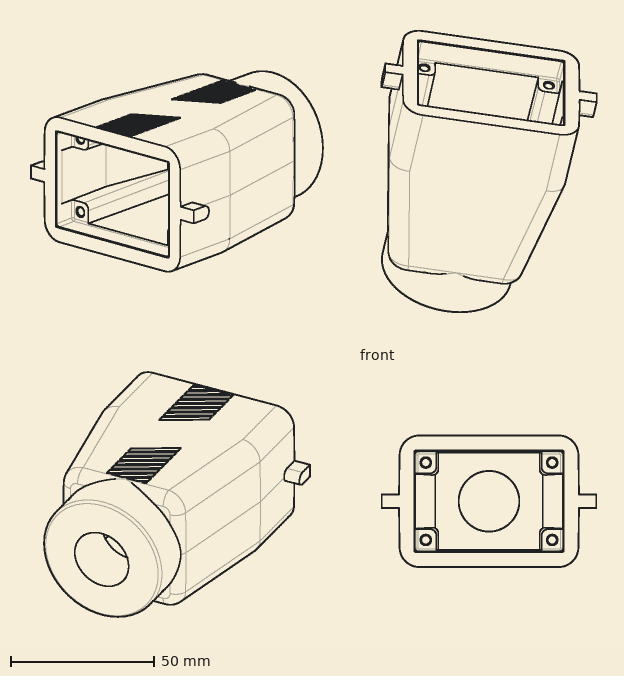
import cadquery as cq
import math

length = 86.5
half_height = 23.0
side_half_width = 31.5
bend_y = 26.4
side_taper = 10.0
shoulder_y = 72.4
side_draft = 0.35
corner_radius = 7.0
shoulder_radius = 4.3

entry_edge_radius = 0.95
entry_bore = 21.1

mouth_half_width = 25.9
mouth_half_height = 17.5
mouth_draft = 0.3
mouth_chamfer = 0.3
mouth_corner_radius = 1.0
mouth_floor_radius = 0.7

cavity_half_width = 25.8
cavity_half_height = 16.9
cavity_end_y = 65.7

post_front_y = 8.5
post_inner_x = 18.4
post_inner_z = 9.9
post_corner_radius = 2.25
post_growth = 0.8
post_hole_x = 22.1
post_hole_z = 13.5
post_hole_diameter = 3.1
post_hole_chamfer = 0.35
post_hole_depth = 17.3

lug_span = 75.0
lug_thickness = 4.85
lug_length = 8.2

groove_depth = 0.2
band_half_width = 7.7
band_front_y = 0.6
band_back_y = 67.5
groove_pitch = 3.24
groove_width = 2.25
groove_rise = 8.2
front_group_y = 19.2
back_group_y = 40.7

taper_slope = math.tan(math.radians(side_taper))


def flat_face(points):
    return cq.Face.makeFromWires(cq.Wire.makePolygon([cq.Vector(*p) for p in points], close=True))


def ruled_segment(start_y, start_outline, end_y, end_outline):
    """Flat-sided block between two outlines of (x, z) points with matching, parallel edges."""
    start = [(x, start_y, z) for x, z in start_outline]
    end = [(x, end_y, z) for x, z in end_outline]
    faces = [flat_face(start), flat_face(end)]
    for i in range(len(start)):
        faces.append(flat_face([start[i - 1], start[i], end[i], end[i - 1]]))
    return cq.Workplane(cq.Solid.makeSolid(cq.Shell.makeShell(faces)).fix())


def tapered_half_width(half_width, y):
    """Half width at y of a side that is half_width from the middle at the bend."""
    return half_width - taper_slope * (y - bend_y)


def body_outline(half_width):
    """Six-sided body section, widest at mid-height."""
    edge = half_width - side_draft
    return [
        (half_width, 0),
        (edge, half_height),
        (-edge, half_height),
        (-half_width, 0),
        (-edge, -half_height),
        (edge, -half_height),
    ]


def rectangle_outline(half_x, half_z):
    return [(half_x, half_z), (-half_x, half_z), (-half_x, -half_z), (half_x, -half_z)]


def make_body():
    """Straight block trimmed to the block that tapers towards the shoulder."""
    straight_outline = body_outline(side_half_width)
    straight = ruled_segment(0, straight_outline, shoulder_y, straight_outline)
    tapered = ruled_segment(
        0,
        body_outline(tapered_half_width(side_half_width, 0)),
        shoulder_y,
        body_outline(tapered_half_width(side_half_width, shoulder_y)),
    )
    straight = straight.edges("(>Z or <Z) and (not |X)").fillet(corner_radius)
    tapered = tapered.edges("(>Z or <Z) and (not |X)").fillet(corner_radius)
    tapered = tapered.faces(">Y").edges().fillet(shoulder_radius)
    return straight.intersect(tapered)


def make_entry():
    """Round cable entry, as wide as the body is high."""
    return (
        cq.Workplane("XZ", origin=(0, cavity_end_y, 0))
        .circle(half_height)
        .extrude(cavity_end_y - length)
        .faces(">Y")
        .edges()
        .fillet(entry_edge_radius)
    )


def make_lugs():
    lug_radius = lug_thickness / 2
    straight = lug_length - lug_radius
    return (
        cq.Workplane("YZ")
        .moveTo(0, -lug_radius)
        .lineTo(straight, -lug_radius)
        .threePointArc((lug_length, 0), (straight, lug_radius))
        .lineTo(0, lug_radius)
        .close()
        .extrude(lug_span / 2, both=True)
    )


def post_outline(growth):
    """Post section running out past the cavity walls; growth moves its two free sides inwards."""
    left = post_inner_x - growth
    bottom = post_inner_z - growth
    right = side_half_width
    top = half_height
    return [(left, bottom), (right, bottom), (right, top), (left, top)]


def make_posts():
    """Four posts, one per cavity corner, each thickening a little towards the end wall."""
    post = (
        ruled_segment(0, post_outline(0), cavity_end_y, post_outline(post_growth))
        .edges("not (|X or |Z)")
        .fillet(post_corner_radius)
    )
    pair = post.union(post.mirror("YZ"))
    return pair.union(pair.mirror("XY"))


def make_inner_cavity():
    """Cavity between the posts; its sides follow the taper of the body behind the bend."""
    straight_outline = rectangle_outline(cavity_half_width, cavity_half_height)
    straight = ruled_segment(0, straight_outline, cavity_end_y, straight_outline)
    tapered = ruled_segment(
        0,
        rectangle_outline(tapered_half_width(cavity_half_width, 0), cavity_half_height),
        cavity_end_y,
        rectangle_outline(tapered_half_width(cavity_half_width, cavity_end_y), cavity_half_height),
    )
    return straight.intersect(tapered).cut(make_posts())


def make_mouth():
    """Slightly drafted recess in front of the posts, with a chamfered rim."""
    plug = ruled_segment(
        0,
        rectangle_outline(mouth_half_width, mouth_half_height),
        post_front_y,
        rectangle_outline(mouth_half_width - mouth_draft, mouth_half_height - mouth_draft),
    )
    rim_half_width = mouth_half_width + mouth_chamfer
    rim_half_height = mouth_half_height + mouth_chamfer
    rim = ruled_segment(
        0,
        rectangle_outline(rim_half_width, rim_half_height),
        mouth_chamfer,
        rectangle_outline(mouth_half_width, mouth_half_height),
    )
    plug = plug.edges("not (|X or |Z)").fillet(mouth_corner_radius)
    plug = plug.faces(">Y").edges().fillet(mouth_floor_radius)
    rim = rim.edges("not (|X or |Z)").fillet(mouth_corner_radius)
    return plug.union(rim)


def make_post_holes():
    return (
        cq.Workplane("XZ", origin=(0, post_front_y, 0))
        .rect(2 * post_hole_x, 2 * post_hole_z, forConstruction=True)
        .vertices()
        .circle(post_hole_diameter / 2)
        .extrude(-post_hole_depth)
        .union(
            cq.Workplane("XZ", origin=(0, post_front_y, 0))
            .rect(2 * post_hole_x, 2 * post_hole_z, forConstruction=True)
            .vertices()
            .circle(post_hole_diameter / 2 + post_hole_chamfer)
            .extrude(-post_hole_chamfer, taper=45)
        )
    )


def make_groove(left_y):
    """One slanted groove; left_y is its front end on the left edge of the band."""
    return (
        cq.Workplane("XY", origin=(0, 0, half_height - groove_depth))
        .polyline([
            (-band_half_width, left_y),
            (band_half_width, left_y + groove_rise),
            (band_half_width, left_y + groove_rise + groove_width),
            (-band_half_width, left_y + groove_width),
        ])
        .close()
        .extrude(2 * groove_depth)
    )


def make_grooves():
    band_length = band_back_y - band_front_y
    band = cq.Workplane("XY", origin=(0, (band_front_y + band_back_y) / 2, half_height)).box(
        2 * band_half_width, band_length, 2 * groove_depth
    )
    front_count = math.ceil((front_group_y + groove_rise - band_front_y) / groove_pitch)
    back_count = math.ceil((band_back_y - back_group_y) / groove_pitch)
    starts = [front_group_y - groove_width - i * groove_pitch for i in range(front_count)]
    starts += [back_group_y + i * groove_pitch for i in range(back_count)]
    grooves = cq.Workplane("XY")
    for left_y in starts:
        grooves = grooves.union(make_groove(left_y))
    return grooves.intersect(band)


def make_bore():
    return cq.Workplane("XZ").circle(entry_bore / 2).extrude(-length)


result = (
    make_body()
    .union(make_entry())
    .union(make_lugs())
    .cut(make_inner_cavity())
    .cut(make_mouth())
    .cut(make_post_holes())
    .cut(make_bore())
    .cut(make_grooves())
)